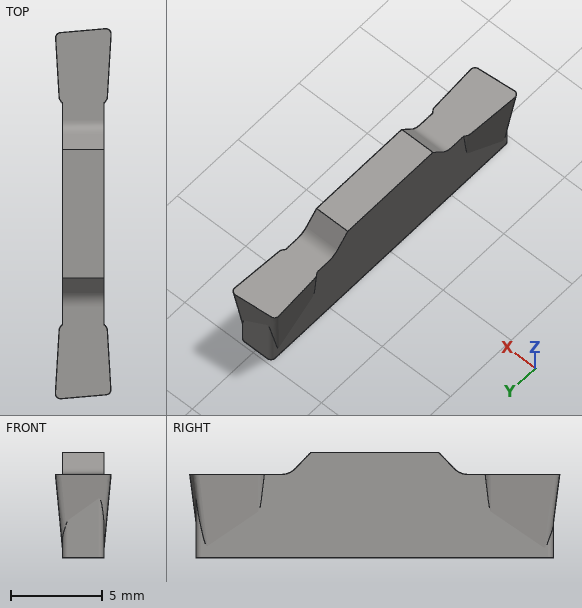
import cadquery as cq
import math

length = 20.25
head_width = 3.05
height = 5.77

body_width = 2.29
body_length = 19.55
corner_radius = 0.3
shoulder_height = 4.57
ridge_half_length = 3.5
ridge_slope = 46.0
ridge_foot_radius = 1.01

end_skew = 5.0
side_taper = 3.4
side_relief = 5.0
end_relief = 7.0
neck_break_y = 6.27
neck_angle = 36.0
neck_radius = 0.3
head_core_half_width = 0.4


def make_body():
    """Straight blade with rounded vertical corners and a raised ridge on top."""
    ridge_rise = height - shoulder_height
    ridge_foot = ridge_half_length + ridge_rise / math.tan(math.radians(ridge_slope))
    blade = (
        cq.Workplane("XY")
        .box(body_width, body_length, shoulder_height, centered=(True, True, False))
        .edges("|Z")
        .fillet(corner_radius)
    )
    half_run = ridge_foot + 2 * ridge_foot_radius
    ridge = (
        cq.Workplane("YZ")
        .polyline(
            [
                (-half_run, 0),
                (half_run, 0),
                (half_run, shoulder_height),
                (ridge_foot, shoulder_height),
                (ridge_half_length, height),
                (-ridge_half_length, height),
                (-ridge_foot, shoulder_height),
                (-half_run, shoulder_height),
            ]
        )
        .close()
        .extrude(body_width / 2, both=True)
    )
    reach = 0.2
    for side in (-1, 1):
        foot_y = side * ridge_foot
        ridge = ridge.edges(
            cq.selectors.BoxSelector(
                (-reach, foot_y - reach, shoulder_height - reach),
                (reach, foot_y + reach, shoulder_height + reach),
            )
        ).fillet(ridge_foot_radius)
    return blade.union(ridge)


def head_outline(depth):
    """Sharp-cornered outline of the +Y head at a depth below its top face."""
    taper = math.radians(side_taper)
    skew = math.radians(end_skew)
    centre_x = head_width / 2 - corner_radius
    centre_y = length / 2 - corner_radius

    side_at_zero = centre_x - centre_y * math.tan(taper) + corner_radius / math.cos(taper)
    side_at_zero -= depth * math.tan(math.radians(side_relief))
    end_at_zero = centre_y - centre_x * math.tan(skew) + corner_radius / math.cos(skew)
    end_at_zero -= depth * math.tan(math.radians(end_relief))

    def tip(side):
        x = side * (side_at_zero + end_at_zero * math.tan(taper))
        x /= 1 - side * math.tan(taper) * math.tan(skew)
        return x, end_at_zero + x * math.tan(skew)

    break_x = side_at_zero + neck_break_y * math.tan(taper)
    neck_run = (break_x - head_core_half_width) / math.tan(math.radians(neck_angle))
    core_y = neck_break_y - neck_run
    return [
        tip(1),
        tip(-1),
        (-break_x, neck_break_y),
        (-head_core_half_width, core_y),
        (head_core_half_width, core_y),
        (break_x, neck_break_y),
    ]


def make_head():
    """Head that narrows downwards until it disappears inside the body."""
    head = (
        cq.Workplane("XY")
        .polyline(head_outline(shoulder_height))
        .close()
        .workplane(offset=shoulder_height)
        .polyline(head_outline(0))
        .close()
        .loft(ruled=True)
    )
    tolerance = 0.02
    upright_edges = head.edges("not #Z")
    tip_edges = upright_edges.filter(lambda edge: edge.Center().y > neck_break_y + tolerance)
    head = tip_edges.fillet(corner_radius)

    def is_neck_edge(edge):
        is_tall = edge.BoundingBox().zlen > shoulder_height / 2
        return is_tall and abs(edge.Center().y - neck_break_y) < tolerance

    return head.edges().filter(is_neck_edge).fillet(neck_radius)


head = make_head()
opposite_head = head.rotate((0, 0, 0), (0, 0, 1), 180)
result = make_body().union(head).union(opposite_head)